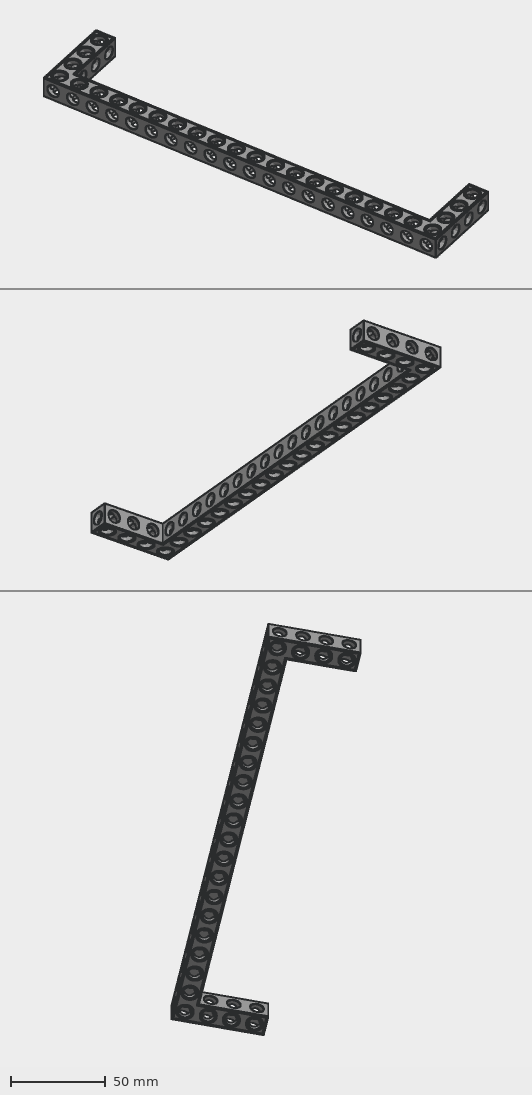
import cadquery as cq

pitch = 12.5
bar_hole_count = 20
arm_hole_count = 4
hole_diameter = 7.0
boss_diameter = 9.2
rim_width = 1.1
recess_depth = 0.2
edge_break = 0.3

length = bar_hole_count * pitch
depth = arm_hole_count * pitch
half_pitch = pitch / 2
hole_radius = hole_diameter / 2
boss_radius = boss_diameter / 2


def u_prism(inset, height):
    """U outline with every side moved inward by inset, extruded up from Z = 0."""
    outline = [
        (inset, inset),
        (length - inset, inset),
        (length - inset, depth - inset),
        (length - pitch + inset, depth - inset),
        (length - pitch + inset, pitch - inset),
        (pitch - inset, pitch - inset),
        (pitch - inset, depth - inset),
        (inset, depth - inset),
    ]
    return cq.Workplane("XY").polyline(outline).close().extrude(height)


def hole_positions(count):
    """Distances of evenly spaced holes, the first half a pitch from the end."""
    return [half_pitch + i * pitch for i in range(count)]


def face_recess(points):
    """Shallow cutter inside the rim that spares a round boss at each hole."""
    bosses = cq.Workplane("XY").pushPoints(points).circle(boss_radius).extrude(recess_depth)
    return u_prism(rim_width, recess_depth).cut(bosses)


def hole_cutter(start, direction, distance):
    """Round bore from start along direction, widened by a chamfer at both mouths."""
    end = start + direction * distance
    mouth_radius = hole_radius + edge_break
    bore = cq.Solid.makeCylinder(hole_radius, distance, start, direction)
    entry = cq.Solid.makeCone(mouth_radius, hole_radius, edge_break, start, direction)
    leaving = cq.Solid.makeCone(mouth_radius, hole_radius, edge_break, end, direction * -1)
    return bore.fuse(entry, leaving)


bar_positions = hole_positions(bar_hole_count)
arm_positions = hole_positions(arm_hole_count)
vertical_points = [(x, half_pitch) for x in bar_positions]
for y in arm_positions[1:]:
    vertical_points.append((half_pitch, y))
    vertical_points.append((length - half_pitch, y))

vertical_edges = cq.selectors.StringSyntaxSelector("|Z")
rim_edges = cq.selectors.StringSyntaxSelector("#Z")
inner_corners = cq.selectors.BoxSelector((0, half_pitch, 0), (length, pitch + half_pitch, pitch))
outer_corners = cq.selectors.SubtractSelector(vertical_edges, inner_corners)
broken_edges = cq.selectors.SumSelector(outer_corners, rim_edges)
body = u_prism(0, pitch).edges(broken_edges).chamfer(edge_break)

recess = face_recess(vertical_points)
body = body.cut(recess).cut(recess.translate((0, 0, pitch - recess_depth)))

along_x = cq.Vector(1, 0, 0)
along_y = cq.Vector(0, 1, 0)
along_z = cq.Vector(0, 0, 1)
hole_cutters = []

for x, y in vertical_points:
    hole_cutters.append(hole_cutter(cq.Vector(x, y, 0), along_z, pitch))

for x in bar_positions:
    in_line_with_arm = x in (bar_positions[0], bar_positions[-1])
    distance = depth if in_line_with_arm else pitch
    hole_cutters.append(hole_cutter(cq.Vector(x, 0, half_pitch), along_y, distance))

hole_cutters.append(hole_cutter(cq.Vector(0, half_pitch, half_pitch), along_x, length))
for y in arm_positions[1:]:
    for arm_start in (0, length - pitch):
        hole_cutters.append(hole_cutter(cq.Vector(arm_start, y, half_pitch), along_x, pitch))

for cutter in hole_cutters:
    body = body.cut(cq.Workplane(cutter))

result = body